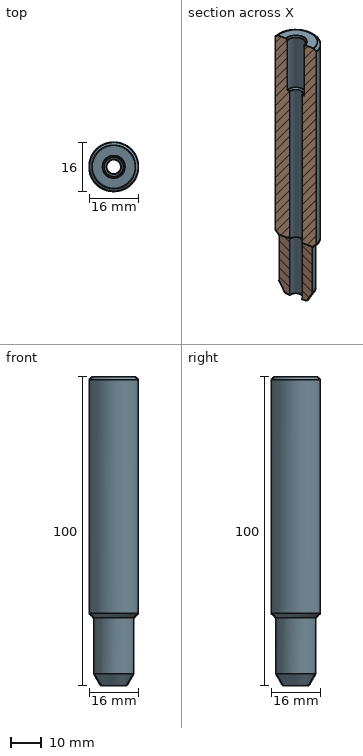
import cadquery as cq
import math

total_length = 100.0
body_radius = 8.0
pin_radius = 6.5
pin_length = 22.0

top_chamfer = 1.0
shoulder_chamfer = body_radius - pin_radius

taper_length = 4.0
taper_half_angle = 30.0
tip_radius = pin_radius - taper_length * math.tan(math.radians(taper_half_angle))
nose_fillet = 1.0

through_radius = 2.3
drill_radius = 3.15
drill_depth = 20.0
drill_point_angle = 140.0
drill_point_height = (drill_radius - through_radius) / math.tan(math.radians(drill_point_angle / 2))
mouth_radius = 3.65
mouth_chamfer = mouth_radius - drill_radius


def revolve_profile(points):
    """Turn a closed (radius, height) outline about the Z axis."""
    return cq.Workplane("XZ").polyline(points).close().revolve(360, (0, 0, 0), (0, 1, 0))


def make_body():
    """Long cylinder with chamfered ends and a stepped bore open at the top."""
    drill_bottom = total_length - drill_depth
    return revolve_profile([
        (through_radius, pin_length),
        (pin_radius, pin_length),
        (body_radius, pin_length + shoulder_chamfer),
        (body_radius, total_length - top_chamfer),
        (body_radius - top_chamfer, total_length),
        (mouth_radius, total_length),
        (drill_radius, total_length - mouth_chamfer),
        (drill_radius, drill_bottom),
        (through_radius, drill_bottom - drill_point_height),
    ])


def make_pin():
    """Hollow locating pin below the body, tapered to a rounded nose."""
    pin = revolve_profile([
        (through_radius, 0),
        (tip_radius, 0),
        (pin_radius, taper_length),
        (pin_radius, pin_length),
        (through_radius, pin_length),
    ])
    nose_edge = cq.selectors.RadiusNthSelector(-1)
    return pin.faces("<Z").edges(nose_edge).fillet(nose_fillet)


body = make_body()
pin = make_pin()

result = cq.Compound.makeCompound([body.val(), pin.val()])